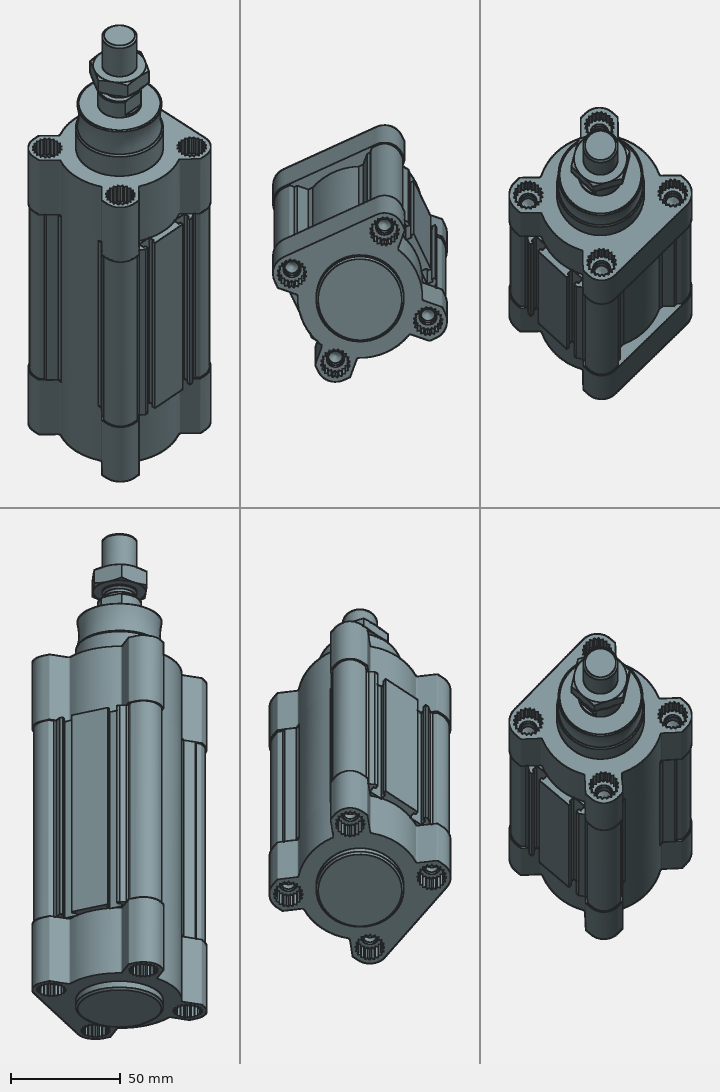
import cadquery as cq
import math

TOTAL_HEIGHT = 237.8
SPIGOT_HEIGHT = 4.0
CAP_HEIGHT = 33.0
BARREL_HEIGHT = 99.9
COLLAR_HEIGHT = 12.5
NECK_RING_HEIGHT = 14.0

LOWER_CAP_Z = SPIGOT_HEIGHT
BARREL_Z = LOWER_CAP_Z + CAP_HEIGHT
UPPER_CAP_Z = BARREL_Z + BARREL_HEIGHT
COLLAR_Z = UPPER_CAP_Z + CAP_HEIGHT
RING_Z = COLLAR_Z + COLLAR_HEIGHT
HOUSING_TOP_Z = RING_Z + NECK_RING_HEIGHT

CAP_SIZE = 64.0
CAP_CORE_DIAMETER = 56.8
SCREW_PITCH = 46.5
CORNER_EDGE = 20.0
EDGE_FILLET = 1.0
CAP_HALF = CAP_SIZE / 2
SCREW_OFFSET = SCREW_PITCH / 2
CORNER_STRIP_WIDTH = math.sqrt(2) * (CAP_HALF - CORNER_EDGE)

COLLAR_DIAMETER = 40.0
COLLAR_CHAMFER = 1.0
RING_DIAMETER = 38.5
RING_WAIST_DIAMETER = 37.0
RING_CHAMFER_WIDTH = 0.7
RING_CHAMFER_HEIGHT = 0.5

SOCKET_TIP_DIAMETER = 13.3
SOCKET_ROOT_DIAMETER = 11.5
SOCKET_TEETH = 20
SOCKET_DEPTH = 9.5
THREAD_HOLE_DIAMETER = 6.7
COUNTERSINK_DIAMETER = 8.0
THREAD_HOLE_DEPTH = 14.3
DRILL_TIP_ANGLE = 118.0

BARREL_SIZE = 62.8
BARREL_HALF = BARREL_SIZE / 2
GROOVE_DEPTH = 1.7
GROOVE_OUTER_EDGE = 20.7
GROOVE_FLOOR_OUTER = GROOVE_OUTER_EDGE - GROOVE_DEPTH
GROOVE_FLOOR_INNER = 17.5
LIP_EDGE = 15.2
RECESS_FOOT = 13.8
BULGE_HALF_WIDTH = 11.7
SLOT_CENTRE = 11.5
SLOT_OPENING = 4.5
SLOT_WIDTH = 6.7
SLOT_LIP = 1.7
SLOT_DEPTH = 4.5

TOLERANCE = 0.02

ROD_DIAMETER = 20.0
ROD_FLATS = 17.1
FLATS_Z = 197.8
SHOULDER_Z = 206.2
SHOULDER_CHAMFER = 0.5
NECK_DIAMETER = 14.3
NECK_HEIGHT = 2.1
UNDERCUT_DIAMETER = 13.8
UNDERCUT_HEIGHT = 1.7
THREAD_DIAMETER = 16.0
THREAD_CHAMFER = 1.0

NUT_FLATS = 24.0
NUT_HEIGHT = 8.0
NUT_Z = 211.6
NUT_CHAMFER_ANGLE = 20.0


def mirrored_in_x(points):
    return [(-x, y) for x, y in reversed(points)]


def is_sharp_post_edge(edge):
    """True for the upright cap edges nearer the middle than the tangent lines of the corner arcs."""
    inner = min(abs(edge.Center().x), abs(edge.Center().y))
    return inner < (CORNER_EDGE + SCREW_OFFSET) / 2


def make_cap(z):
    """Round core with four 45-degree corner posts and a flat face on the +Y side."""
    square = (
        cq.Workplane("XY")
        .rect(CAP_SIZE, CAP_SIZE)
        .extrude(CAP_HEIGHT)
        .edges("|Z")
        .fillet(CAP_HALF - SCREW_OFFSET)
    )
    cross = cq.Workplane("XY")
    for angle in (45, 135):
        strip = cq.Workplane("XY").rect(2 * CAP_SIZE, CORNER_STRIP_WIDTH).extrude(CAP_HEIGHT)
        cross = cross.add(strip.rotate((0, 0, 0), (0, 0, 1), angle))
    posts = square.intersect(cross.combine())
    core = cq.Workplane("XY").circle(CAP_CORE_DIAMETER / 2).extrude(CAP_HEIGHT)
    flat_side = (
        cq.Workplane("XY")
        .center(0, CAP_HALF / 2)
        .rect(2 * CORNER_EDGE, CAP_HALF)
        .extrude(CAP_HEIGHT)
    )
    cap = posts.union(core).union(flat_side).clean()
    sharp_edges = cap.edges("|Z").filter(is_sharp_post_edge)
    return sharp_edges.fillet(EDGE_FILLET).translate((0, 0, z))


def is_groove_outer_edge(edge):
    """True for the upright edges where a corner groove or recess meets an outer barrel face."""
    inner, outer = sorted((abs(edge.Center().x), abs(edge.Center().y)))
    return abs(outer - BARREL_HALF) < TOLERANCE and abs(inner - GROOVE_OUTER_EDGE) < TOLERANCE


def make_barrel():
    """Extruded profile: bulged recesses on the Y sides, lip grooves and T slots on the X sides."""
    barrel = (
        cq.Workplane("XY")
        .rect(BARREL_SIZE, BARREL_SIZE)
        .extrude(BARREL_HEIGHT)
        .edges("|Z")
        .fillet(BARREL_HALF - SCREW_OFFSET)
    )
    groove_floor = BARREL_HALF - GROOVE_DEPTH
    recess_foot_y = groove_floor - (GROOVE_FLOOR_INNER - RECESS_FOOT)
    bulge_radius = CAP_CORE_DIAMETER / 2
    bulge_edge_y = math.sqrt(bulge_radius**2 - BULGE_HALF_WIDTH**2)

    right_flank = [
        (GROOVE_OUTER_EDGE, BARREL_HALF),
        (GROOVE_FLOOR_OUTER, groove_floor),
        (GROOVE_FLOOR_INNER, groove_floor),
        (RECESS_FOOT, recess_foot_y),
        (BULGE_HALF_WIDTH, bulge_edge_y),
    ]
    left_flank = mirrored_in_x(right_flank)
    recess = (
        cq.Workplane("XY")
        .polyline(right_flank)
        .threePointArc((0, bulge_radius), left_flank[0])
        .polyline(left_flank, includeCurrent=False)
        .close()
        .extrude(BARREL_HEIGHT)
    )
    groove = (
        cq.Workplane("XY")
        .polyline([
            (GROOVE_OUTER_EDGE, BARREL_HALF),
            (GROOVE_FLOOR_OUTER, groove_floor),
            (GROOVE_FLOOR_INNER, groove_floor),
            (LIP_EDGE, BARREL_HALF),
        ])
        .close()
        .extrude(BARREL_HEIGHT)
    )
    opening = (
        cq.Workplane("XY")
        .center(SLOT_CENTRE, BARREL_HALF - SLOT_DEPTH / 2)
        .rect(SLOT_OPENING, SLOT_DEPTH)
        .extrude(BARREL_HEIGHT)
    )
    slot = (
        cq.Workplane("XY")
        .center(SLOT_CENTRE, BARREL_HALF - (SLOT_LIP + SLOT_DEPTH) / 2)
        .rect(SLOT_WIDTH, SLOT_DEPTH - SLOT_LIP)
        .extrude(BARREL_HEIGHT)
        .union(opening)
    )
    side_cuts = [groove, groove.mirror("YZ"), slot, slot.mirror("YZ")]
    for angle in (0, 180):
        barrel = barrel.cut(recess.rotate((0, 0, 0), (0, 0, 1), angle))
    for angle in (90, 270):
        for cutter in side_cuts:
            barrel = barrel.cut(cutter.rotate((0, 0, 0), (0, 0, 1), angle))
    barrel = barrel.edges("|Z").filter(is_groove_outer_edge).fillet(EDGE_FILLET)
    return barrel.translate((0, 0, BARREL_Z))


def make_neck():
    """Collar with a chamfered rim, topped by a slightly waisted ring."""
    collar_radius = COLLAR_DIAMETER / 2
    ring_radius = RING_DIAMETER / 2
    return (
        cq.Workplane("XZ")
        .moveTo(0, COLLAR_Z)
        .lineTo(collar_radius, COLLAR_Z)
        .lineTo(collar_radius, RING_Z - COLLAR_CHAMFER)
        .lineTo(ring_radius, RING_Z)
        .threePointArc(
            (RING_WAIST_DIAMETER / 2, (RING_Z + HOUSING_TOP_Z) / 2),
            (ring_radius, HOUSING_TOP_Z - RING_CHAMFER_HEIGHT),
        )
        .lineTo(ring_radius - RING_CHAMFER_WIDTH, HOUSING_TOP_Z)
        .lineTo(0, HOUSING_TOP_Z)
        .close()
        .revolve(360, (0, 0, 0), (0, 1, 0))
    )


def make_lower_spigot():
    return (
        cq.Workplane("XY")
        .circle(COLLAR_DIAMETER / 2)
        .extrude(SPIGOT_HEIGHT)
        .faces("<Z")
        .chamfer(COLLAR_CHAMFER)
    )


def make_drive_socket():
    """Cutter with pointed teeth all round, alternating tip and root points."""
    outline = []
    for i in range(2 * SOCKET_TEETH):
        angle = math.pi * i / SOCKET_TEETH
        diameter = SOCKET_TIP_DIAMETER if i % 2 == 0 else SOCKET_ROOT_DIAMETER
        outline.append((diameter / 2 * math.cos(angle), diameter / 2 * math.sin(angle)))
    return cq.Workplane("XY").polyline(outline).close().extrude(-SOCKET_DEPTH)


def make_screw_hole():
    """Cutter for one cap screw: drive socket, then a drilled hole with a cone tip."""
    hole_radius = THREAD_HOLE_DIAMETER / 2
    countersink_radius = COUNTERSINK_DIAMETER / 2
    tip_height = hole_radius / math.tan(math.radians(DRILL_TIP_ANGLE / 2))
    drilled_hole = (
        cq.Workplane("XZ")
        .polyline([
            (0, 0),
            (countersink_radius, 0),
            (countersink_radius, -SOCKET_DEPTH),
            (hole_radius, -SOCKET_DEPTH - (countersink_radius - hole_radius)),
            (hole_radius, -THREAD_HOLE_DEPTH),
            (0, -THREAD_HOLE_DEPTH - tip_height),
        ])
        .close()
        .revolve(360, (0, 0, 0), (0, 1, 0))
    )
    return drilled_hole.union(make_drive_socket())


def make_housing():
    housing = (
        make_lower_spigot()
        .union(make_cap(LOWER_CAP_Z))
        .union(make_barrel())
        .union(make_cap(UPPER_CAP_Z))
        .union(make_neck())
    )
    screw_hole = make_screw_hole()
    for x in (-SCREW_OFFSET, SCREW_OFFSET):
        for y in (-SCREW_OFFSET, SCREW_OFFSET):
            housing = housing.cut(screw_hole.translate((x, y, COLLAR_Z)))
            lower_hole = screw_hole.mirror("XY")
            housing = housing.cut(lower_hole.translate((x, y, LOWER_CAP_Z)))
    rod_bore = (
        cq.Workplane("XY")
        .workplane(offset=UPPER_CAP_Z)
        .circle(ROD_DIAMETER / 2)
        .extrude(HOUSING_TOP_Z - UPPER_CAP_Z)
    )
    return housing.cut(rod_bore)


def make_piston_rod():
    """Rod with two wrench flats, an undercut and a threaded end."""
    rod_radius = ROD_DIAMETER / 2
    undercut_radius = UNDERCUT_DIAMETER / 2
    thread_radius = THREAD_DIAMETER / 2
    neck_radius = NECK_DIAMETER / 2
    neck_top_z = SHOULDER_Z + NECK_HEIGHT
    undercut_top_z = neck_top_z + UNDERCUT_HEIGHT
    rod = (
        cq.Workplane("XZ")
        .polyline([
            (0, UPPER_CAP_Z),
            (rod_radius, UPPER_CAP_Z),
            (rod_radius, SHOULDER_Z - SHOULDER_CHAMFER),
            (rod_radius - SHOULDER_CHAMFER, SHOULDER_Z),
            (neck_radius, SHOULDER_Z),
            (neck_radius, neck_top_z),
            (undercut_radius, neck_top_z),
            (undercut_radius, undercut_top_z),
            (thread_radius, undercut_top_z + thread_radius - undercut_radius),
            (thread_radius, TOTAL_HEIGHT - THREAD_CHAMFER),
            (thread_radius - THREAD_CHAMFER, TOTAL_HEIGHT),
            (0, TOTAL_HEIGHT),
        ])
        .close()
        .revolve(360, (0, 0, 0), (0, 1, 0))
    )
    flat_depth = (ROD_DIAMETER - ROD_FLATS) / 2
    flat_cutters = (
        cq.Workplane("XY")
        .workplane(offset=FLATS_Z)
        .pushPoints([(side * (ROD_FLATS + flat_depth) / 2, 0) for side in (-1, 1)])
        .rect(flat_depth, ROD_DIAMETER)
        .extrude(SHOULDER_Z - FLATS_Z)
    )
    return rod.cut(flat_cutters)


def make_lock_nut():
    """Hexagon nut with flats on the X sides and both ends chamfered round."""
    corner_radius = NUT_FLATS / math.sqrt(3)
    flat_radius = NUT_FLATS / 2
    chamfer_height = (corner_radius - flat_radius) * math.tan(math.radians(NUT_CHAMFER_ANGLE))
    hexagon = (
        cq.Workplane("XY")
        .polygon(6, 2 * corner_radius)
        .extrude(NUT_HEIGHT)
        .rotate((0, 0, 0), (0, 0, 1), 30)
    )
    chamfered_blank = (
        cq.Workplane("XZ")
        .polyline([
            (0, 0),
            (flat_radius, 0),
            (corner_radius, chamfer_height),
            (corner_radius, NUT_HEIGHT - chamfer_height),
            (flat_radius, NUT_HEIGHT),
            (0, NUT_HEIGHT),
        ])
        .close()
        .revolve(360, (0, 0, 0), (0, 1, 0))
    )
    bore = cq.Workplane("XY").circle(THREAD_DIAMETER / 2).extrude(NUT_HEIGHT)
    return hexagon.intersect(chamfered_blank).cut(bore).translate((0, 0, NUT_Z))


housing = make_housing()
piston_rod = make_piston_rod()
lock_nut = make_lock_nut()

result = cq.Compound.makeCompound([housing.val(), piston_rod.val(), lock_nut.val()])